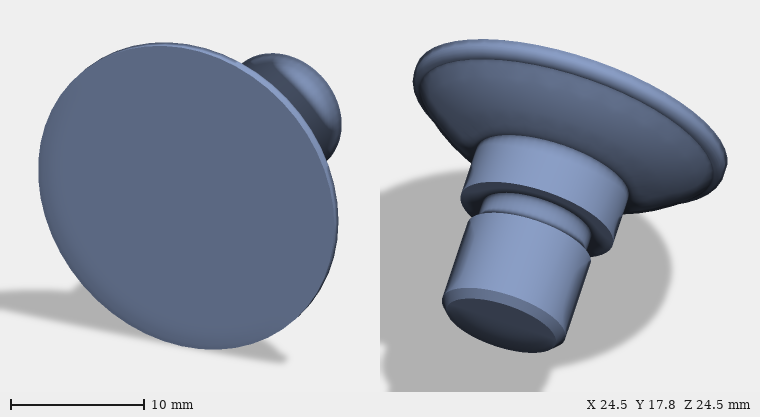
import cadquery as cq

disc_diameter = 24.5
collar_diameter = 12.0
neck_diameter = 8.58
stud_diameter = 9.73

rim_height = 0.6
rim_round = 0.74
dome_height = 3.48
collar_length = 4.0
neck_length = 2.0
total_length = 17.8
chamfer_length = 0.61
chamfer_depth = 0.56

dome_radius = 11.52

dome_start = rim_height + rim_round
collar_start = dome_start + dome_height
neck_start = collar_start + collar_length
stud_start = neck_start + neck_length

disc_radius = disc_diameter / 2
collar_radius = collar_diameter / 2
neck_radius = neck_diameter / 2
stud_radius = stud_diameter / 2

profile = (
    cq.Workplane("XY")
    .lineTo(disc_radius, 0)
    .lineTo(disc_radius, rim_height)
    .radiusArc((disc_radius - rim_round, dome_start), -rim_round)
    .radiusArc((collar_radius, collar_start), -dome_radius)
    .lineTo(collar_radius, neck_start)
    .lineTo(neck_radius, neck_start)
    .lineTo(neck_radius, stud_start)
    .lineTo(stud_radius, stud_start)
    .lineTo(stud_radius, total_length - chamfer_length)
    .lineTo(stud_radius - chamfer_depth, total_length)
    .lineTo(0, total_length)
    .close()
)

result = profile.revolve(360, (0, 0, 0), (0, 1, 0))